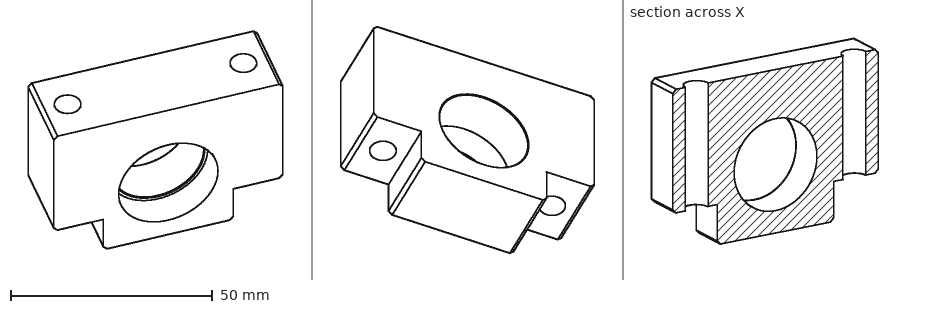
import cadquery as cq

thickness = 20.0
body_width = 60.0
total_height = 43.0

foot_width = 34.0
foot_height = 10.5

edge_chamfer = 1.0

bore_diameter = 24.0
bore_height = 18.0
bore_chamfer = 0.2

seat_diameter = 26.0
seat_depth = 8.0

mount_hole_diameter = 6.6
mount_hole_spacing = 46.0


def make_block(width, bottom, top):
    """Block centred on X and Y, spanning the given heights."""
    return (
        cq.Workplane("XY")
        .workplane(offset=bottom)
        .rect(thickness, width)
        .extrude(top - bottom)
    )


def make_housing():
    """T-shaped housing with its outward corners chamfered."""
    body = make_block(body_width, foot_height, total_height).edges("|X").chamfer(edge_chamfer)
    foot = make_block(foot_width, 0, bore_height).edges("|X and <Z").chamfer(edge_chamfer)
    return body.union(foot)


def cut_bearing_seat(part):
    """Blind bore from the +X face; its floor is the bearing shoulder."""
    seat = (
        cq.Workplane("YZ")
        .workplane(offset=thickness / 2 - seat_depth)
        .center(0, bore_height)
        .circle(seat_diameter / 2)
        .extrude(seat_depth)
    )
    return part.cut(seat)


def cut_bore(part):
    """Through bore along X, chamfered at the -X face and at the seat shoulder."""
    bore = (
        cq.Workplane("YZ")
        .workplane(offset=-thickness / 2)
        .center(0, bore_height)
        .circle(bore_diameter / 2)
        .extrude(thickness - seat_depth)
    )
    part = part.cut(bore)
    for mouth_x, inward in ((-thickness / 2, 1), (thickness / 2 - seat_depth, -1)):
        mouth = cq.Solid.makeCone(
            bore_diameter / 2 + bore_chamfer,
            bore_diameter / 2,
            bore_chamfer,
            cq.Vector(mouth_x, 0, bore_height),
            cq.Vector(inward, 0, 0),
        )
        part = part.cut(cq.Workplane(mouth))
    return part


def cut_mount_holes(part):
    """Vertical through holes on either side of the bore."""
    for side in (-1, 1):
        hole = (
            cq.Workplane("XY")
            .center(0, side * mount_hole_spacing / 2)
            .circle(mount_hole_diameter / 2)
            .extrude(total_height)
        )
        part = part.cut(hole)
    return part


result = make_housing()
result = cut_bearing_seat(result)
result = cut_bore(result)
result = cut_mount_holes(result)